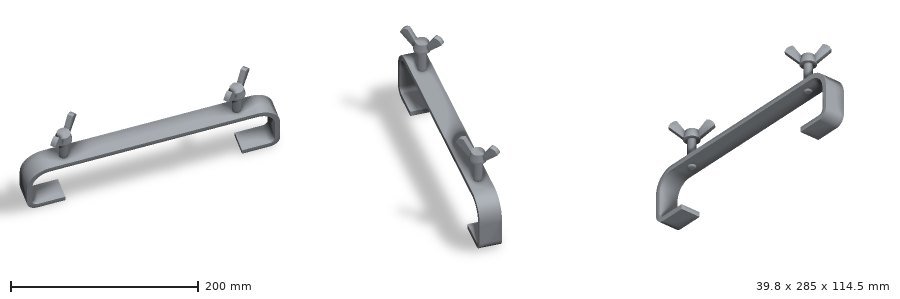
import cadquery as cq
import math

OVERALL_HEIGHT = 114.5

STRAP_LENGTH = 285.0
STRAP_WIDTH = 25.0
STRAP_HEIGHT = 63.8
STRAP_THICKNESS = 6.0
UPPER_BEND_RADIUS = 26.0
LOWER_BEND_RADIUS = 12.0
LIP_LENGTH = 43.0

SCREW_SPACING = 195.0
ROD_DIAMETER = 10.0
TIP_PROJECTION = 2.0
TIP_CHAMFER = 1.5
HEAD_CLEARANCE = 27.0
FLANGE_RADIUS = 9.5
FLANGE_HEIGHT = 2.5
HUB_TOP_RADIUS = 7.5
HUB_HEIGHT = 8.5

HEAD_HEIGHT = OVERALL_HEIGHT - STRAP_HEIGHT - HEAD_CLEARANCE
WING_THICKNESS = 6.3
WING_REACH = 25.0
WING_TIP_HEIGHT = 16.8
WING_CREST_RADIUS = 16.0
WING_ANGLE = -45.0


def make_rounded_block(inset):
    """Solid with the strap's side outline, moved inward by the inset, centred on the origin."""
    block = (
        cq.Workplane("YZ")
        .rect(STRAP_LENGTH - 2 * inset, STRAP_HEIGHT - 2 * inset)
        .extrude(STRAP_WIDTH / 2, both=True)
    )
    block = block.edges("|X and >Z").fillet(UPPER_BEND_RADIUS - inset)
    return block.edges("|X and <Z").fillet(LOWER_BEND_RADIUS - inset)


def make_strap():
    """Bent bar, symmetric about the XZ plane, with its lips resting on Z = 0."""
    ring = make_rounded_block(0).cut(make_rounded_block(STRAP_THICKNESS))
    strap = ring.translate((0, 0, STRAP_HEIGHT / 2))
    mouth = cq.Workplane("XY").box(
        STRAP_WIDTH,
        STRAP_LENGTH - 2 * LIP_LENGTH,
        STRAP_THICKNESS,
        centered=(True, True, False),
    )
    screw_holes = (
        cq.Workplane("XY")
        .workplane(offset=STRAP_HEIGHT - STRAP_THICKNESS)
        .rarray(2.8, SCREW_SPACING, 1, 2)
        .circle(ROD_DIAMETER / 2)
        .extrude(STRAP_THICKNESS)
    )
    return strap.cut(mouth).cut(screw_holes)


def make_rod():
    """Chamfered rod hanging below Z = 0, the underside of the head."""
    length = HEAD_CLEARANCE + STRAP_THICKNESS + TIP_PROJECTION
    rod = cq.Workplane("XY").circle(ROD_DIAMETER / 2).extrude(-length)
    return rod.faces("<Z").chamfer(TIP_CHAMFER)


def make_hub():
    """Flange with a tapered hub rising from its rim."""
    hub_top = FLANGE_HEIGHT + HUB_HEIGHT
    return (
        cq.Workplane("XZ")
        .polyline(
            [
                (0, 0),
                (FLANGE_RADIUS, 0),
                (FLANGE_RADIUS, FLANGE_HEIGHT),
                (HUB_TOP_RADIUS, hub_top),
                (0, hub_top),
            ]
        )
        .close()
        .revolve(360, (0, 0), (0, 1))
    )


def make_wing():
    """Slanted wing along +X; its rounded end starts level at the crest."""
    hub_top = FLANGE_HEIGHT + HUB_HEIGHT
    end_rise = HEAD_HEIGHT - WING_TIP_HEIGHT
    end_run = WING_REACH - WING_CREST_RADIUS
    end_radius = (end_run**2 + end_rise**2) / (2 * end_rise)
    half_sweep = math.asin(end_run / end_radius) / 2
    end_middle = (
        WING_CREST_RADIUS + end_radius * math.sin(half_sweep),
        HEAD_HEIGHT - end_radius * (1 - math.cos(half_sweep)),
    )
    return (
        cq.Workplane("XZ")
        .moveTo(0, FLANGE_HEIGHT)
        .lineTo(FLANGE_RADIUS, FLANGE_HEIGHT)
        .lineTo(WING_REACH, WING_TIP_HEIGHT)
        .threePointArc(end_middle, (WING_CREST_RADIUS, HEAD_HEIGHT))
        .lineTo(HUB_TOP_RADIUS, hub_top)
        .lineTo(0, hub_top)
        .close()
        .extrude(WING_THICKNESS / 2, both=True)
    )


def make_thumbscrew():
    """Rod, hub and two opposite wings as one solid, the flange's underside at Z = 0."""
    wing = make_wing()
    opposite_wing = wing.mirror("YZ")
    screw = make_rod().union(make_hub()).union(wing).union(opposite_wing)
    return screw.rotate((0, 0, 0), (0, 0, 1), WING_ANGLE)


strap = make_strap()

thumbscrews = []
for side in (-1, 1):
    seat = (0, side * SCREW_SPACING / 2, STRAP_HEIGHT + HEAD_CLEARANCE)
    thumbscrews.append(make_thumbscrew().translate(seat).val())

result = cq.Compound.makeCompound([strap.val(), *thumbscrews])